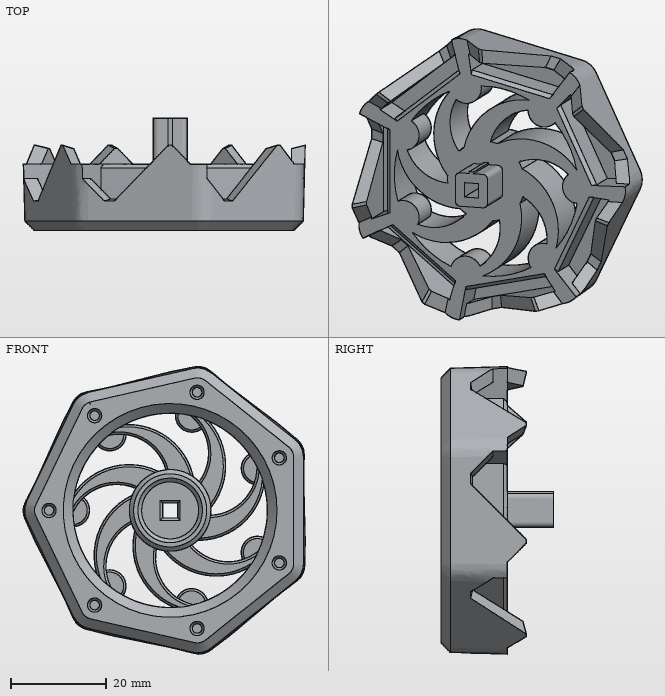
import cadquery as cq
import math


SIDES = 7
STEP_ANGLE = 360 / SIDES

FRONT_APOTHEM = 28.0
DRAFT = 1.45
CORNER_RADIUS = 4.8
FRONT_CHAMFER = 2.0
RIM_DEPTH = 14.0

BORE_RADIUS = 20.45
MOUTH_CHAMFER = 2.05

TIP_DEPTH = 18.0
CONE_HEIGHT = 11.0
PROFILE_APOTHEM = 28.4
TIP_ALONG = -6.5
TIP_WIDTH = 0.8
VALLEY_DEPTH = 6.2
POST_ALONG = 12.65
TOOTH_FOOT_ALONG = -11.0
TOOTH_BACK_APOTHEM = 25.5

INNER_WALL_APOTHEM = 22.2
INNER_WALL_CHAMFER = 0.8
MOAT_FLOOR = 6.3

HUB_RADIUS = 8.6
HUB_CHAMFER = 0.9
RECESS_RADIUS = 6.0
RECESS_DEPTH = 2.0
RECESS_CHAMFER = 0.8

STUB_SIZE = 7.2
STUB_CORNER_RADIUS = 1.1
STUB_END = 23.7
SQUARE_BORE = 3.1
SQUARE_CHAMFER = 0.55
KEY_WIDTH = 1.0
KEY_HEIGHT = 0.4

SPOKE_FRONT = 2.0
SPOKE_CHAMFER = 0.5
SPOKE_OVERLAP = 1.2
HUB_OVERLAP = 2.0
OUTER_ARC_CENTER = (6.25, -7.45)
OUTER_ARC_RADIUS = 14.1
INNER_ARC_CENTER = (7.09, -9.95)
INNER_ARC_RADIUS = 10.14

LOBE_CENTER = (4.52, -19.9)
LOBE_RADIUS = 3.45
LOBE_FRONT = 5.5
LOBE_OVERLAP = 1.0

DIMPLE_CIRCLE = 25.5
DIMPLE_RADIUS = 1.5
DIMPLE_FLOOR_RADIUS = 1.0
DIMPLE_DEPTH = 1.1

OVERSHOOT = 3.0


def section(depth):
    """Workplane across the axis at Y = depth; extrude by a negative length to go towards +Y."""
    return cq.Workplane("XZ", origin=(0, depth, 0))


def prism(sketch, length):
    return sketch.extrude(-length)


def disc(radius, start, end):
    return prism(section(start).circle(radius), end - start)


def cone(start_radius, end_radius, start, end):
    profile = [(0, start), (start_radius, start), (end_radius, end), (0, end)]
    return cq.Workplane("XY").polyline(profile).close().revolve(360, (0, 0, 0), (0, 1, 0))


def turned(shape, index):
    """The shape moved to another side of the heptagon."""
    return shape.rotate((0, 0, 0), (0, 1, 0), -index * STEP_ANGLE)


def heptagon_wire(apothem, depth):
    radius = apothem / math.cos(math.pi / SIDES)
    corners = []
    for index in range(SIDES):
        angle = math.radians((index + 0.5) * STEP_ANGLE)
        corners.append(cq.Vector(radius * math.cos(angle), depth, radius * math.sin(angle)))
    return cq.Wire.makePolygon(corners, close=True)


def make_rim():
    back_apothem = FRONT_APOTHEM + TIP_DEPTH * math.tan(math.radians(DRAFT))
    outlines = [heptagon_wire(FRONT_APOTHEM, 0), heptagon_wire(back_apothem, TIP_DEPTH)]
    rim = cq.Workplane(cq.Solid.makeLoft(outlines, True))
    rim = rim.edges("not(<Y or >Y)").fillet(CORNER_RADIUS)
    return rim.faces("<Y").chamfer(FRONT_CHAMFER)


def radial_profile(points, outer, inner):
    """Solid whose (along, depth) outline shrinks towards the cone point on the axis."""
    outlines = []
    for apothem in (outer, inner):
        scale = apothem / PROFILE_APOTHEM
        vertices = []
        for along, depth in points:
            height = CONE_HEIGHT + (depth - CONE_HEIGHT) * scale
            vertices.append(cq.Vector(apothem, height, along * scale))
        outlines.append(cq.Wire.makePolygon(vertices, close=True))
    return cq.Workplane(cq.Solid.makeLoft(outlines, True))


def make_tooth():
    half_tip = TIP_WIDTH / 2
    root = RIM_DEPTH - OVERSHOOT
    run = TIP_DEPTH - root
    points = [
        (TIP_ALONG - half_tip - run, root),
        (TIP_ALONG - half_tip, TIP_DEPTH),
        (TIP_ALONG + half_tip, TIP_DEPTH),
        (TIP_ALONG + half_tip + run, root),
    ]
    return radial_profile(points, PROFILE_APOTHEM + OVERSHOOT, TOOTH_BACK_APOTHEM)


def make_valley():
    """Notch between a tooth and the next corner post, with slopes of 45 degrees."""
    top = TIP_DEPTH + OVERSHOOT
    slope_sum = TIP_ALONG + TIP_WIDTH / 2 + TIP_DEPTH
    points = [
        (slope_sum - top, top),
        (slope_sum - VALLEY_DEPTH, VALLEY_DEPTH),
        (POST_ALONG - (CONE_HEIGHT - VALLEY_DEPTH), VALLEY_DEPTH),
        (POST_ALONG, CONE_HEIGHT),
        (POST_ALONG, top),
    ]
    inner = (INNER_WALL_APOTHEM + TOOTH_BACK_APOTHEM) / 2
    return radial_profile(points, PROFILE_APOTHEM + OVERSHOOT, inner)


def make_moat():
    """Space between the inner wall and the crown of one side, with radial ends."""
    profile = [
        (INNER_WALL_APOTHEM, MOAT_FLOOR),
        (TOOTH_BACK_APOTHEM, MOAT_FLOOR),
        (TOOTH_BACK_APOTHEM, RIM_DEPTH),
        (INNER_WALL_APOTHEM - INNER_WALL_CHAMFER, RIM_DEPTH),
        (INNER_WALL_APOTHEM, RIM_DEPTH - INNER_WALL_CHAMFER),
    ]
    ring = cq.Workplane("XY").polyline(profile).close().extrude(PROFILE_APOTHEM, both=True)
    ends = [
        (TOOTH_FOOT_ALONG, 0),
        (POST_ALONG, 0),
        (POST_ALONG, 2 * RIM_DEPTH),
        (TOOTH_FOOT_ALONG, 2 * RIM_DEPTH),
    ]
    return ring.intersect(radial_profile(ends, PROFILE_APOTHEM, 1))


def arc_point(center, arc_radius, reach):
    """Point of a spoke arc at a given distance from the wheel axis."""
    span = math.hypot(*center)
    cosine = (reach ** 2 + span ** 2 - arc_radius ** 2) / (2 * reach * span)
    angle = math.atan2(center[1], center[0]) - math.acos(cosine)
    return reach * math.cos(angle), reach * math.sin(angle)


def make_spoke():
    start_reach = HUB_RADIUS - HUB_OVERLAP
    end_reach = BORE_RADIUS + SPOKE_OVERLAP
    reaches = (start_reach, (start_reach + end_reach) / 2, end_reach)
    outer = [arc_point(OUTER_ARC_CENTER, OUTER_ARC_RADIUS, reach) for reach in reaches]
    inner = [arc_point(INNER_ARC_CENTER, INNER_ARC_RADIUS, reach) for reach in reaches]
    outline = section(SPOKE_FRONT).moveTo(*outer[0]).threePointArc(outer[1], outer[2])
    outline = outline.lineTo(*inner[2]).threePointArc(inner[1], inner[0]).close()
    spoke = prism(outline, RIM_DEPTH - SPOKE_FRONT)
    return spoke.faces("<Y").edges("%CIRCLE").chamfer(SPOKE_CHAMFER)


def make_lobe():
    lobe = prism(section(LOBE_FRONT).center(*LOBE_CENTER).circle(LOBE_RADIUS), RIM_DEPTH - LOBE_FRONT)
    lobe = lobe.faces("<Y").chamfer(SPOKE_CHAMFER)
    return lobe.intersect(disc(BORE_RADIUS + LOBE_OVERLAP, 0, RIM_DEPTH))


def make_dimple():
    angle = math.radians(STEP_ANGLE / 2)
    place = (DIMPLE_CIRCLE * math.cos(angle), 0, DIMPLE_CIRCLE * math.sin(angle))
    return cone(DIMPLE_RADIUS, DIMPLE_FLOOR_RADIUS, 0, DIMPLE_DEPTH).translate(place)


def make_hub():
    hub = disc(HUB_RADIUS, 0, RIM_DEPTH).faces("<Y").chamfer(HUB_CHAMFER)
    hub = hub.cut(disc(RECESS_RADIUS, 0, RECESS_DEPTH))
    hub = hub.cut(cone(RECESS_RADIUS + RECESS_CHAMFER, RECESS_RADIUS, 0, RECESS_CHAMFER))
    stub = prism(section(RECESS_DEPTH).rect(STUB_SIZE, STUB_SIZE), STUB_END - RECESS_DEPTH)
    stub = stub.edges("|Y").fillet(STUB_CORNER_RADIUS)
    key = section(RIM_DEPTH).center(0, STUB_SIZE / 2).rect(KEY_WIDTH, 2 * KEY_HEIGHT)
    hub = hub.union(stub).union(prism(key, STUB_END - RIM_DEPTH))
    bore = prism(section(RECESS_DEPTH).rect(SQUARE_BORE, SQUARE_BORE), STUB_END)
    mouth_size = SQUARE_BORE + 2 * SQUARE_CHAMFER
    mouth = section(RECESS_DEPTH).rect(mouth_size, mouth_size).extrude(-SQUARE_CHAMFER, taper=45)
    return hub.cut(bore).cut(mouth)


def make_body():
    rim = make_rim()
    tooth = make_tooth()
    valley = make_valley()
    moat = make_moat()
    dimple = make_dimple()
    spoke = make_spoke()
    lobe = make_lobe()
    body = rim.intersect(disc(2 * FRONT_APOTHEM, 0, RIM_DEPTH))
    for index in range(SIDES):
        body = body.union(turned(tooth, index).intersect(rim))
    for index in range(SIDES):
        body = body.cut(turned(valley, index))
        body = body.cut(turned(moat, index))
        body = body.cut(turned(dimple, index))
    body = body.cut(disc(BORE_RADIUS, 0, RIM_DEPTH))
    body = body.cut(cone(BORE_RADIUS + MOUTH_CHAMFER, BORE_RADIUS, 0, MOUTH_CHAMFER))
    for index in range(SIDES):
        body = body.union(turned(spoke, index))
        body = body.union(turned(lobe, index))
    return body.union(make_hub())


result = make_body()